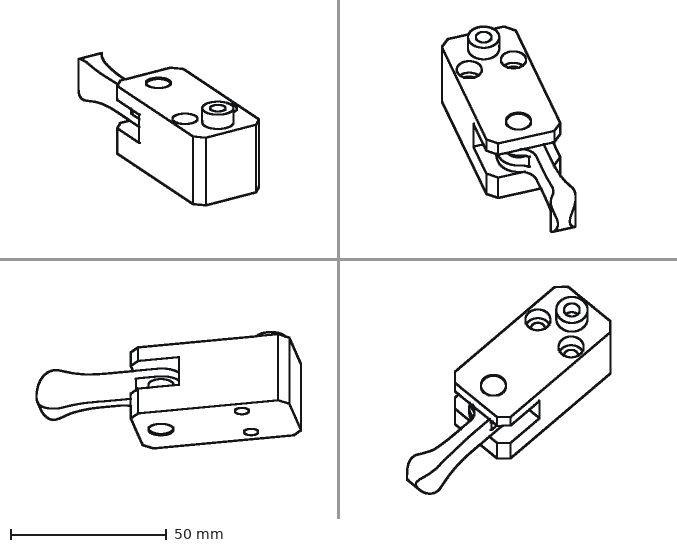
import cadquery as cq
import math


block_length = 52.0
block_width = 25.0
block_height = 23.9
corner_chamfer = 3.0
slot_bottom = 9.0
slot_height = 10.0
slot_depth = 16.4
slot_middle = slot_bottom + slot_height / 2

boss_x = 44.0
boss_radius = 5.0
boss_height = 5.0
boss_bore_radius = 2.5

mount_x = 36.0
mount_offset = 7.5
mount_radius = 2.3
counterbore_radius = 4.0
counterbore_depth = 5.0

pivot_x = 8.0
pin_radius = 4.0
pin_recess = 0.5

arm_front = -6.0
arm_back = -1.9
eye_radius = 6.55
eye_near_x = 6.8
eye_far_x = 8.15
eye_fillet = 5.4
fork_gap = 4.4
fork_floor_x = 1.0

lever_tip_x = block_length - 84
back_round_x = -29.1
back_round_y = -3.0
back_round_radius = 4.0
back_hollow_radius = 10.0
front_round_x = -25.9
front_round_y = -0.9
front_round_radius = 7.0
front_hollow_end_x = -7.05

knob_radius = 7.0
knob_x = lever_tip_x + knob_radius
side_hollow_end_x = -11.9


def point_at(center, radius, direction):
    """Point on a circle in the given direction (X, Y) from its centre."""
    length = math.hypot(*direction)
    return (
        center[0] + radius * direction[0] / length,
        center[1] + radius * direction[1] / length,
    )


def direction_between(start, end):
    return (end[0] - start[0], end[1] - start[1])


def arc_middle(center, start, end):
    """Middle of the shorter arc from start to end about center."""
    to_start = direction_between(center, start)
    to_end = direction_between(center, end)
    bisector = (to_start[0] + to_end[0], to_start[1] + to_end[1])
    return point_at(center, math.hypot(*to_start), bisector)


def hollow_radius(run, drop, round_radius):
    """Radius of a concave arc tangent to a round and to a line parallel to X.

    run is the X distance from the round's centre to the arc's end on the line;
    drop is the distance from the round's centre to that line.
    """
    return (run**2 + drop**2 - round_radius**2) / (2 * (round_radius - drop))


def vertical_cylinder(x, y, radius, bottom, top):
    return cq.Workplane("XY", origin=(x, y, bottom)).circle(radius).extrude(top - bottom)


def make_block():
    block = (
        cq.Workplane("XY")
        .box(block_length, block_width, block_height, centered=(False, True, False))
        .edges("|Z")
        .chamfer(corner_chamfer)
    )
    slot = cq.Workplane("XY", origin=(0, 0, slot_bottom)).box(
        slot_depth, block_width, slot_height, centered=(False, True, False)
    )
    block = block.cut(slot)

    boss_top = block_height + boss_height
    block = block.union(vertical_cylinder(boss_x, 0, boss_radius, block_height, boss_top))
    block = block.cut(vertical_cylinder(boss_x, 0, boss_bore_radius, block_height, boss_top))

    counterbore_floor = block_height - counterbore_depth
    for y in (-mount_offset, mount_offset):
        block = block.cut(vertical_cylinder(mount_x, y, mount_radius, 0, block_height))
        block = block.cut(
            vertical_cylinder(mount_x, y, counterbore_radius, counterbore_floor, block_height)
        )
    return block.cut(vertical_cylinder(pivot_x, 0, pin_radius, 0, block_height))


def make_lever_plan():
    """Lever outline in plan, extruded over the full knob height."""
    front_center = (front_round_x, front_round_y)
    front_hollow = hollow_radius(
        front_hollow_end_x - front_round_x, front_round_y - arm_front, front_round_radius
    )
    front_hollow_center = (front_hollow_end_x, arm_front - front_hollow)
    front_start_drop = math.sqrt(front_round_radius**2 - (lever_tip_x - front_round_x) ** 2)
    front_start = (lever_tip_x, front_round_y - front_start_drop)
    front_blend = point_at(
        front_center, front_round_radius, direction_between(front_center, front_hollow_center)
    )
    front_hollow_end = (front_hollow_end_x, arm_front)

    eye_y = arm_front + eye_radius
    eye_top = eye_y + eye_radius
    near_center = (eye_near_x, eye_y)

    fillet_y = arm_back + eye_fillet
    fillet_run = math.sqrt((eye_radius + eye_fillet) ** 2 - (fillet_y - eye_y) ** 2)
    fillet_center = (eye_near_x - fillet_run, fillet_y)
    fillet_start = point_at(near_center, eye_radius, direction_between(near_center, fillet_center))
    fillet_end = (fillet_center[0], arm_back)

    back_center = (back_round_x, back_round_y)
    back_hollow_y = arm_back + back_hollow_radius
    back_hollow_run = math.sqrt(
        (back_round_radius + back_hollow_radius) ** 2 - (back_hollow_y - back_round_y) ** 2
    )
    back_hollow_center = (back_round_x + back_hollow_run, back_hollow_y)
    back_hollow_start = (back_hollow_center[0], arm_back)
    back_blend = point_at(
        back_center, back_round_radius, direction_between(back_center, back_hollow_center)
    )
    back_end_rise = math.sqrt(back_round_radius**2 - (lever_tip_x - back_round_x) ** 2)
    back_end = (lever_tip_x, back_round_y + back_end_rise)

    return (
        cq.Workplane("XY", origin=(0, 0, slot_middle))
        .moveTo(*front_start)
        .threePointArc(arc_middle(front_center, front_start, front_blend), front_blend)
        .threePointArc(
            arc_middle(front_hollow_center, front_blend, front_hollow_end), front_hollow_end
        )
        .lineTo(eye_far_x, arm_front)
        .threePointArc((eye_far_x + eye_radius, eye_y), (eye_far_x, eye_top))
        .lineTo(eye_near_x, eye_top)
        .threePointArc(
            arc_middle(near_center, (eye_near_x, eye_top), fillet_start), fillet_start
        )
        .threePointArc(arc_middle(fillet_center, fillet_start, fillet_end), fillet_end)
        .lineTo(*back_hollow_start)
        .threePointArc(arc_middle(back_hollow_center, back_hollow_start, back_blend), back_blend)
        .threePointArc(arc_middle(back_center, back_blend, back_end), back_end)
        .close()
        .extrude(knob_radius, both=True)
    )


def make_lever_side():
    """Lever outline from the side, symmetric about the slot's middle height."""
    arm_half = slot_height / 2
    hollow = hollow_radius(side_hollow_end_x - knob_x, arm_half, knob_radius)
    knob_center = (knob_x, 0)
    hollow_center = (side_hollow_end_x, arm_half + hollow)
    blend = point_at(knob_center, knob_radius, direction_between(knob_center, hollow_center))
    hollow_end = (side_hollow_end_x, arm_half)
    hollow_middle = arc_middle(hollow_center, blend, hollow_end)
    eye_end_x = eye_far_x + eye_radius

    return (
        cq.Workplane("XZ", origin=(0, 0, slot_middle))
        .moveTo(blend[0], -blend[1])
        .threePointArc((lever_tip_x, 0), blend)
        .threePointArc(hollow_middle, hollow_end)
        .lineTo(eye_end_x, arm_half)
        .lineTo(eye_end_x, -arm_half)
        .lineTo(side_hollow_end_x, -arm_half)
        .threePointArc((hollow_middle[0], -hollow_middle[1]), (blend[0], -blend[1]))
        .close()
        .extrude(block_width / 2, both=True)
    )


def make_lever():
    lever = make_lever_plan().intersect(make_lever_side())
    gap_radius = math.hypot(pivot_x - fork_floor_x, arm_front)
    gap_bottom = slot_middle - fork_gap / 2
    fork_slot = vertical_cylinder(pivot_x, 0, gap_radius, gap_bottom, gap_bottom + fork_gap)
    pivot_hole = vertical_cylinder(pivot_x, 0, pin_radius, 0, block_height)
    return lever.cut(fork_slot).cut(pivot_hole)


def make_pin():
    return vertical_cylinder(pivot_x, 0, pin_radius, pin_recess, block_height - pin_recess)


block = make_block()
lever = make_lever()
pin = make_pin()

result = cq.Compound.makeCompound([block.val(), lever.val(), pin.val()])